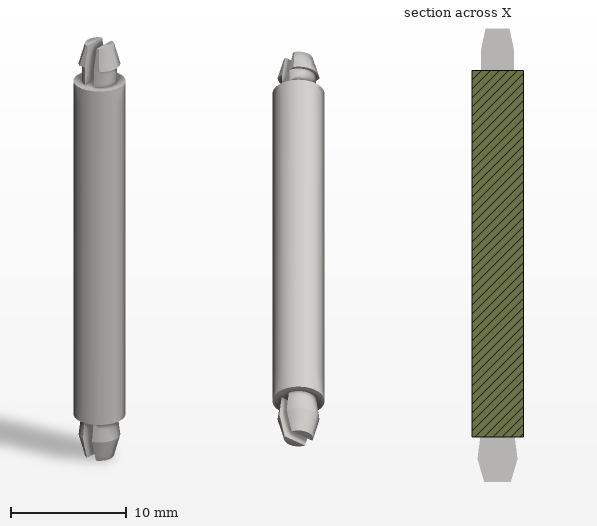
import cadquery as cq

total_length = 39.1
body_diameter = 4.5

slot_width = 0.98
barb_diameter = 3.6
tip_diameter = 2.5

upper_pin_length = 3.55
upper_barb_length = 1.9
stem_diameter = 3.0
flats_width_at_barb = 2.9
flats_width_at_tip = 2.07

lower_pin_length = 3.87
lower_tip_length = 2.0
lower_root_diameter = 3.13

lower_barb_level = lower_tip_length
body_bottom = lower_pin_length
body_top = total_length - upper_pin_length
upper_barb_level = total_length - upper_barb_length


def cone(bottom_diameter, top_diameter, bottom, top):
    """Solid truncated cone on the Z axis between two levels."""
    return (
        cq.Workplane("XZ")
        .moveTo(0, bottom)
        .lineTo(bottom_diameter / 2, bottom)
        .lineTo(top_diameter / 2, top)
        .lineTo(0, top)
        .close()
        .revolve(360, (0, 0, 0), (0, 1, 0))
    )


def cylinder(diameter, bottom, top):
    """Solid cylinder on the Z axis between two levels."""
    return cq.Workplane("XY").workplane(offset=bottom).circle(diameter / 2).extrude(top - bottom)


def split(pin, bottom, top):
    """Cut the through slot that divides a pin into two prongs."""
    slot = cq.Workplane("XY").box(slot_width, body_diameter, top - bottom, centered=(True, True, False))
    return pin.cut(slot.translate((0, 0, bottom)))


def upper_pin():
    """Stem and barb; the barb is trimmed by flats that lean in towards the tip."""
    flats_envelope = (
        cq.Workplane("YZ")
        .moveTo(-flats_width_at_barb / 2, upper_barb_level)
        .lineTo(flats_width_at_barb / 2, upper_barb_level)
        .lineTo(flats_width_at_tip / 2, total_length)
        .lineTo(-flats_width_at_tip / 2, total_length)
        .close()
        .extrude(barb_diameter, both=True)
    )
    barb = cone(barb_diameter, tip_diameter, upper_barb_level, total_length).intersect(flats_envelope)
    stem = cylinder(stem_diameter, body_top, upper_barb_level)
    return split(stem.union(barb), body_top, total_length)


def lower_pin():
    """Double taper, widest at the barb level."""
    tip = cone(tip_diameter, barb_diameter, 0, lower_barb_level)
    flare = cone(barb_diameter, lower_root_diameter, lower_barb_level, body_bottom)
    return split(tip.union(flare), 0, body_bottom)


body = cylinder(body_diameter, body_bottom, body_top)
result = body.union(upper_pin()).union(lower_pin())